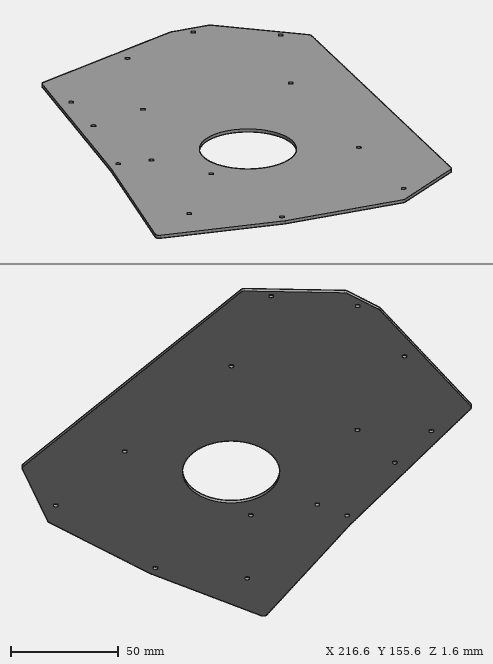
import cadquery as cq

LENGTH = 216.55
WIDTH = 155.64
THICKNESS = 1.6
LEFT = -LENGTH / 2
RIGHT = LENGTH / 2
BACK = WIDTH / 2
FRONT = -WIDTH / 2

CORNER_RADIUS = 2.0
FRONT_TIP_SETBACK = 0.26

CORNERS = [
    (-79.5, BACK),
    (84.9, BACK),
    (RIGHT, 43.6),
    (RIGHT, -16.6),
    (100.0, FRONT - FRONT_TIP_SETBACK),
    (22.3, -67.1),
    (-79.2, -58.3),
    (LEFT, 19.5),
    (LEFT, 39.4),
]

OPENING_DIAMETER = 45.0
OPENING_CENTER = (27.0, -0.1)

SCREW_HOLE_DIAMETER = 2.2

PATTERN_LENGTH = 79.3
PATTERN_WIDTH = 74.6
PATTERN_CENTER = (6.3, 10.4)

SINGLE_HOLES = [
    (-84.8, 65.0),
    (96.6, 48.3),
    (-104.1, 29.2),
    (-88.9, -10.6),
    (103.6, -16.2),
    (20.7, -46.1),
    (-54.0, -54.2),
    (83.0, -54.1),
    (-25.5, -55.3),
    (18.4, -61.9),
]


def make_plate():
    """Flat plate with its outline corners rounded."""
    plate = cq.Workplane("XY").polyline(CORNERS).close().extrude(THICKNESS)
    return plate.edges("|Z").fillet(CORNER_RADIUS)


def cut_opening(plate):
    """Large round opening through the plate."""
    opening = cq.Workplane("XY").center(*OPENING_CENTER).circle(OPENING_DIAMETER / 2).extrude(THICKNESS)
    return plate.cut(opening)


def cut_screw_holes(plate):
    """Rectangular pattern and single screw holes through the plate."""
    pattern = (
        cq.Workplane("XY")
        .center(*PATTERN_CENTER)
        .rect(PATTERN_LENGTH, PATTERN_WIDTH, forConstruction=True)
        .vertices()
        .circle(SCREW_HOLE_DIAMETER / 2)
        .extrude(THICKNESS)
    )
    singles = (
        cq.Workplane("XY")
        .pushPoints(SINGLE_HOLES)
        .circle(SCREW_HOLE_DIAMETER / 2)
        .extrude(THICKNESS)
    )
    return plate.cut(pattern).cut(singles)


result = cut_screw_holes(cut_opening(make_plate()))